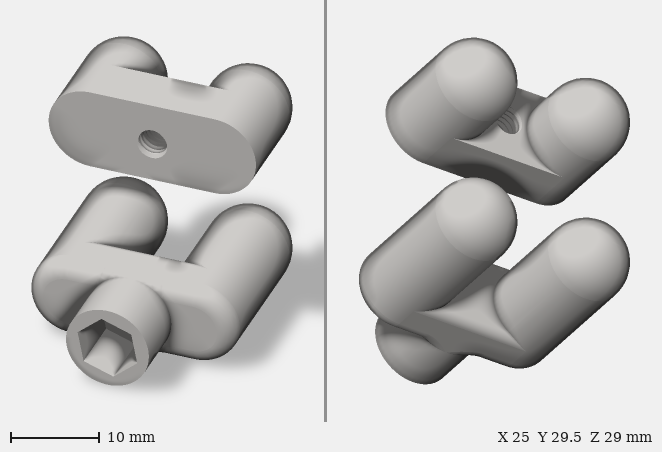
import cadquery as cq
import math

lug_radius = 5.0
lug_height = 2 * lug_radius
lug_spacing = 15.0
bridge_thickness = 6.0
dome_start_y = 17.5
body_pitch_z = 19.0

front_rounding = 2.0
bridge_back_rounding = 1.0
pin_radius = lug_radius
pin_length = 7.0
hex_corner_diameter = 7.6
hex_turn = 41.0
hex_depth = pin_length

blend_edge_z = lug_radius - front_rounding
blend_half_width = math.sqrt(pin_radius**2 - blend_edge_z**2)
blend_backing = bridge_thickness / 2
blend_spans = 6

upper_front_y = 7.0
thread_minor_radius = 3.33 / 2
thread_major_radius = 4.11 / 2
thread_pitch = 0.7
thread_crest_width = thread_pitch / 8
thread_flank_slope = math.tan(math.radians(30))
thread_root_overlap = 0.05
thread_start_angle = 196.0
thread_lead_in = 0.12


def lug_pair(front_y):
    """Two round lugs with a flat front at front_y and a domed rear end."""
    lug = (
        cq.Workplane("XY")
        .moveTo(0, front_y)
        .lineTo(lug_radius, front_y)
        .lineTo(lug_radius, dome_start_y)
        .radiusArc((0, dome_start_y + lug_radius), -lug_radius)
        .close()
        .revolve(360, (0, 0, 0), (0, 1, 0))
        .translate((lug_spacing / 2, 0, 0))
    )
    return lug.union(lug.mirror("YZ"))


def bridge(front_y):
    """Block between the two lug axes, as tall as the lugs."""
    block = cq.Workplane("XY").box(lug_spacing, bridge_thickness, lug_height)
    return block.translate((0, front_y + bridge_thickness / 2, 0))


def blend_section(x):
    """Section of the blend, square to the path of a ball of the front rounding's radius.

    The ball touches the flat of the bridge and the circle where the pin meets the front face.
    """
    axis_distance = math.hypot(x, blend_edge_z)
    gap = pin_radius - axis_distance
    y = math.sqrt(max(front_rounding**2 - gap**2, 0))
    if x > 0:
        path_slope = gap * x / (axis_distance * y)
    else:
        path_slope = math.sqrt(front_rounding / blend_edge_z)
    forward = cq.Vector(path_slope, -1, 0).normalized()
    along_path = forward.cross(cq.Vector(0, 0, 1))
    plane = cq.Plane(origin=(x, y, 0), xDir=forward, normal=along_path)
    return (
        cq.Workplane(plane)
        .moveTo(-blend_backing, -lug_radius)
        .lineTo(-blend_backing, lug_radius)
        .lineTo(0, lug_radius)
        .radiusArc((front_rounding, blend_edge_z), front_rounding)
        .lineTo(front_rounding, -blend_edge_z)
        .radiusArc((0, -lug_radius), front_rounding)
        .close()
        .wires()
        .val()
    )


def pin_blend():
    """Material that carries the bridge's flats forward to the pin, behind the front face."""
    step = blend_half_width / blend_spans
    sections = [blend_section(i * step) for i in range(blend_spans + 1)]
    half = cq.Workplane(obj=cq.Solid.makeLoft(sections))
    behind_front = cq.Workplane("XY").box(lug_spacing, lug_spacing, lug_height)
    behind_front = behind_front.translate((0, lug_spacing / 2, 0))
    return half.union(half.mirror("YZ")).intersect(behind_front)


def make_lower_body():
    rounded_bridge = bridge(0).faces(">Y").edges("|X").fillet(bridge_back_rounding)
    body = rounded_bridge.union(lug_pair(0)).faces("<Y").edges().fillet(front_rounding)
    pin = cq.Workplane("XZ").circle(pin_radius).extrude(pin_length)
    hex_socket = (
        cq.Workplane("XZ", origin=(0, -pin_length, 0))
        .transformed(rotate=(0, 0, hex_turn))
        .polygon(6, hex_corner_diameter)
        .extrude(-hex_depth)
    )
    return body.union(pin_blend()).union(pin).cut(hex_socket)


def thread_groove():
    """Helical groove around +Z, starting on +X at Z = 0."""
    root_radius = thread_minor_radius - thread_root_overlap
    half_crest = thread_crest_width / 2
    half_root = half_crest + (thread_major_radius - root_radius) * thread_flank_slope
    helix = cq.Wire.makeHelix(
        thread_pitch, bridge_thickness + thread_pitch, thread_minor_radius, lefthand=True
    )
    profile = cq.Workplane("XZ").polyline(
        [
            (root_radius, -half_root),
            (thread_major_radius, -half_crest),
            (thread_major_radius, half_crest),
            (root_radius, half_root),
        ]
    ).close()
    return profile.sweep(cq.Workplane(obj=helix), isFrenet=True)


def make_upper_body():
    body = bridge(upper_front_y).union(lug_pair(upper_front_y))
    hole = (
        cq.Workplane("XZ", origin=(0, upper_front_y, 0))
        .circle(thread_minor_radius)
        .extrude(-bridge_thickness)
    )
    groove = (
        thread_groove()
        .rotate((0, 0, 0), (0, 0, 1), -thread_start_angle)
        .rotate((0, 0, 0), (1, 0, 0), -90)
        .translate((0, upper_front_y - thread_lead_in, 0))
    )
    return body.cut(hole).cut(groove).translate((0, 0, body_pitch_z))


lower_body = make_lower_body()
upper_body = make_upper_body()

result = cq.Compound.makeCompound([*lower_body.solids().vals(), *upper_body.solids().vals()])